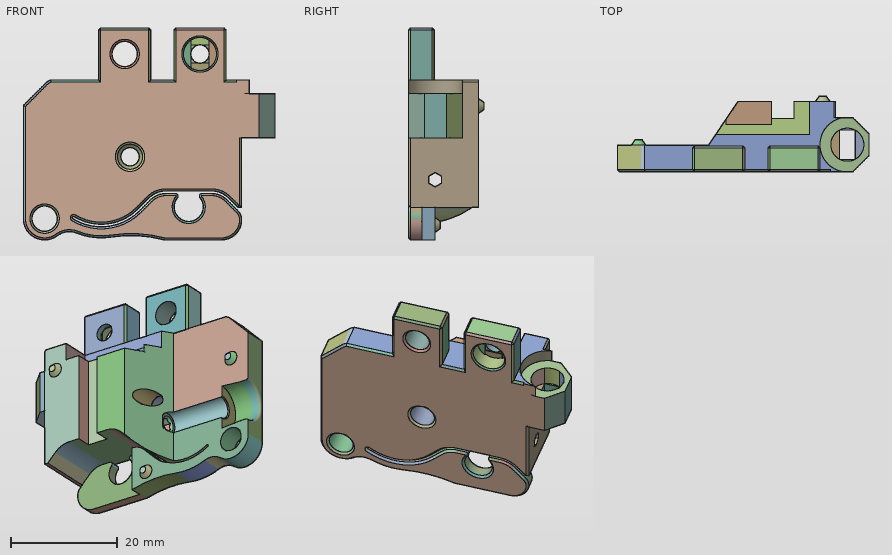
import cadquery as cq
import math

PLATE_THICKNESS = 5.0
BLOCK_DEPTH = 13.17
BODY_RIGHT = 40.93
BODY_TOP = 30.0
FRONT_CHAMFER = 0.4
PIVOT_RADIUS = 4.0
CORNER_CUT_BOTTOM = 25.2
CORNER_CUT_RISE = 4.45
FACET_END = 5.1

SLOT_WIDTH = 0.45
ROOF_Z = 9.17
SHOULDER_RADIUS = 4.5
LATCH_X = 31.0
SHOULDER_HALF = 4.3
SAG_X = 14.6
SAG_RADIUS = 9.66
SLOT_SPREAD = math.radians(31.5)
TIP_Z = 6.1
DIAGONAL = math.sqrt(0.5)

LEVER_THINNEST = 2.1
LEVER_TOE_RADIUS = 3.8
LEVER_HUMP_RADIUS = 24.0
LEVER_HUMP_SPAN = 5.6
NECK_RADIUS = 3.7
LATCH_Z = 6.2
LATCH_RADIUS = 2.7
LATCH_LIP_RADIUS = 0.5
LEVER_ARM_THICKNESS = 2.5

TAB_WIDTH = 9.8
TAB_TOP = 39.75
TAB_THICKNESS = 4.85
TAB_CENTERS = (19.0, 33.1)
TAB_HOLE_Z = 34.85

INSERT_DIAMETER = 4.7
SCREW_DIAMETER = 3.4
HEAD_DIAMETER = 6.2
HEAD_CHAMFER = 0.3
HEAD_DEPTH = 3.1
BRIDGE_STEP = 0.2
CENTER_HOLE = (20.0, 15.6)
CENTER_INSERT_DEPTH = 5.0

RAMP_FOOT_X = 17.1
RAMP_TOP_X = 22.6
EDGE_CHAMFER = 0.35
RECESS_RIGHT = 36.0
RECESS_Y = 7.0
RECESS_FLOOR = 26.6
POCKET_LEFT = 20.4
POCKET_RIGHT = 28.9
POCKET_Y = 8.84
POCKET_FLOOR = 25.1
CHANNEL_RIGHT = 33.1
CHANNEL_Y = 10.0

BOSS_RIGHT = 47.2
BOSS_LEFT = 39.96
BOSS_DEPTH = 10.14
BOSS_CHAMFER = 3.05
BOSS_BOTTOM = 19.15
BOSS_TOP = 27.45
BOSS_HOLE_X = 43.1
BOSS_HOLE_DEPTH = 4.0
BOSS_RELIEF_DIAMETER = 10.25
NUT_SLOT_X = 2.9
NUT_SLOT_Y = 5.5

PATH_Y = 5.0
PATH_Z = 11.3
COLLAR_DIAMETER = 8.8
COLLAR_LIP_DIAMETER = 8.2
COLLAR_LIP_ROUND = 0.5
COLLAR_LIP_LENGTH = 2.0
COLLAR_DEPTH = 6.0
TUBE_DIAMETER = 4.3
TUBE_CHAMFER = 0.2
TUBE_END = 18.36
FUNNEL_DIAMETER = 3.2
FUNNEL_LENGTH = 0.5
HEX_FLATS = 2.3

NUB_BASE_RADIUS = 1.38
NUB_TIP_RADIUS = 0.68
NUB_HEIGHT = 1.0
PLATE_NUBS = ((4.0, 20.95), (23.5, 2.8))
BLOCK_NUB = (38.5, 25.1)

OVERCUT = 1.0

FLANK_OFFSET = SHOULDER_RADIUS * math.tan(math.pi / 8)
LEFT_FLANK_X = LATCH_X - SHOULDER_HALF - FLANK_OFFSET
RIGHT_FLANK_X = LATCH_X + SHOULDER_HALF + FLANK_OFFSET
SHOULDER_Z = ROOF_Z - SHOULDER_RADIUS
SAG_Z = ROOF_Z - LEFT_FLANK_X + SAG_X + SAG_RADIUS / DIAGONAL
SAG = (SAG_X, SAG_Z)
LEFT_SHOULDER = (LATCH_X - SHOULDER_HALF, SHOULDER_Z)
RIGHT_SHOULDER = (LATCH_X + SHOULDER_HALF, SHOULDER_Z)

UP = math.pi / 2
DOWN = -math.pi / 2
SLOT_START = DOWN - SLOT_SPREAD
SAG_END = -math.pi / 4
LEFT_FLANK_ANGLE = 3 * math.pi / 4
RIGHT_FLANK_ANGLE = math.pi / 4


def polar(center, radius, angle):
    """Point on a circle, with the angle in radians from +X towards +Z."""
    return (center[0] + radius * math.cos(angle), center[1] + radius * math.sin(angle))


def toward(start, end, distance):
    """Point at a distance from start in the direction of end."""
    angle = math.atan2(end[1] - start[1], end[0] - start[0])
    return polar(start, distance, angle)


def arc_to(path, center, radius, start, end):
    """Continue a path along a circle to its end angle."""
    return path.threePointArc(polar(center, radius, (start + end) / 2), polar(center, radius, end))


def arc_between(path, center, radius, start, end):
    """Continue a path along the shorter arc between two points of a circle."""
    middle = ((start[0] + end[0]) / 2, (start[1] + end[1]) / 2)
    return path.threePointArc(toward(center, middle, radius), end)


def front_plane(y=0.0):
    return cq.Workplane("XZ", origin=(0, y, 0))


def add_slot_roof(path):
    """Body edge above the slot, from its closed left end to the tip at the right."""
    path = arc_to(path, SAG, SAG_RADIUS, SLOT_START, SAG_END)
    path = path.lineTo(*polar(LEFT_SHOULDER, SHOULDER_RADIUS, LEFT_FLANK_ANGLE))
    path = arc_to(path, LEFT_SHOULDER, SHOULDER_RADIUS, LEFT_FLANK_ANGLE, UP)
    path = path.lineTo(RIGHT_SHOULDER[0], ROOF_Z)
    path = arc_to(path, RIGHT_SHOULDER, SHOULDER_RADIUS, UP, RIGHT_FLANK_ANGLE)
    return path.lineTo(RIGHT_FLANK_X + ROOF_Z - TIP_Z, TIP_Z).lineTo(BODY_RIGHT, TIP_Z)


def add_lever_underside(path):
    """Lower edge from the pivot corner along the wavy flexure to the flat of the lever."""
    pivot = (PIVOT_RADIUS, PIVOT_RADIUS)
    belly_radius = SAG_RADIUS + SLOT_WIDTH + LEVER_THINNEST
    pivot_reach = PIVOT_RADIUS + NECK_RADIUS
    belly_reach = belly_radius + NECK_RADIUS
    span = math.dist(pivot, SAG)
    turn = math.acos((pivot_reach**2 + span**2 - belly_reach**2) / (2 * pivot_reach * span))
    bearing = math.atan2(SAG_Z - PIVOT_RADIUS, SAG_X - PIVOT_RADIUS)
    neck = polar(pivot, pivot_reach, bearing - turn)
    hump_reach = belly_radius + LEVER_HUMP_RADIUS
    hump = (SAG_X + LEVER_HUMP_SPAN, SAG_Z - math.sqrt(hump_reach**2 - LEVER_HUMP_SPAN**2))
    hump_end = (hump[0] + math.sqrt(LEVER_HUMP_RADIUS**2 - hump[1] ** 2), 0)

    neck_start = toward(pivot, neck, PIVOT_RADIUS)
    belly_start = toward(SAG, neck, belly_radius)
    belly_end = toward(SAG, hump, belly_radius)
    path = arc_between(path, pivot, PIVOT_RADIUS, (0, PIVOT_RADIUS), neck_start)
    path = arc_between(path, neck, NECK_RADIUS, neck_start, belly_start)
    path = arc_between(path, SAG, belly_radius, belly_start, belly_end)
    return arc_between(path, hump, LEVER_HUMP_RADIUS, belly_end, hump_end)


def add_lever_end(path):
    """Rounded free end of the lever, up to the flank of its right shoulder."""
    toe = (BODY_RIGHT - LEVER_TOE_RADIUS, LEVER_TOE_RADIUS)
    flank_sum = RIGHT_FLANK_X + ROOF_Z - SLOT_WIDTH / DIAGONAL
    nose_radius = (flank_sum - BODY_RIGHT - LEVER_TOE_RADIUS) / (1 / DIAGONAL - 1)
    nose = (BODY_RIGHT - nose_radius, LEVER_TOE_RADIUS)
    path = path.lineTo(toe[0], 0)
    path = arc_to(path, toe, LEVER_TOE_RADIUS, DOWN, 0)
    return arc_to(path, nose, nose_radius, 0, RIGHT_FLANK_ANGLE)


def add_lever_top(path):
    """Upper edge of the lever with its open latch hole, back to the closed end of the slot."""
    radius = SHOULDER_RADIUS - SLOT_WIDTH
    top = ROOF_Z - SLOT_WIDTH
    latch = (LATCH_X, LATCH_Z)
    lip_z = top - LATCH_LIP_RADIUS
    lip_half = math.sqrt((LATCH_RADIUS + LATCH_LIP_RADIUS) ** 2 - (lip_z - LATCH_Z) ** 2)
    right_lip = (LATCH_X + lip_half, lip_z)
    left_lip = (LATCH_X - lip_half, lip_z)
    right_angle = math.atan2(lip_z - LATCH_Z, lip_half)
    left_angle = math.pi - right_angle
    path = path.lineTo(*polar(RIGHT_SHOULDER, radius, RIGHT_FLANK_ANGLE))
    path = arc_to(path, RIGHT_SHOULDER, radius, RIGHT_FLANK_ANGLE, UP)
    path = path.lineTo(right_lip[0], top)
    path = arc_to(path, right_lip, LATCH_LIP_RADIUS, UP, math.pi + right_angle)
    path = path.threePointArc((LATCH_X, LATCH_Z - LATCH_RADIUS), polar(latch, LATCH_RADIUS, left_angle))
    path = arc_to(path, left_lip, LATCH_LIP_RADIUS, -right_angle, UP)
    path = path.lineTo(LEFT_SHOULDER[0], top)
    path = arc_to(path, LEFT_SHOULDER, radius, UP, LEFT_FLANK_ANGLE)
    path = path.lineTo(*polar(SAG, SAG_RADIUS + SLOT_WIDTH, SAG_END))
    path = arc_to(path, SAG, SAG_RADIUS + SLOT_WIDTH, SAG_END, SLOT_START)
    cap = polar(SAG, SAG_RADIUS + SLOT_WIDTH / 2, SLOT_START)
    cap_middle = polar(cap, SLOT_WIDTH / 2, SLOT_START - math.pi / 2)
    return path.threePointArc(cap_middle, polar(SAG, SAG_RADIUS, SLOT_START))


def make_plate():
    path = front_plane().moveTo(0, PIVOT_RADIUS)
    path = add_lever_underside(path)
    path = add_lever_end(path)
    path = add_lever_top(path)
    path = add_slot_roof(path)
    path = path.lineTo(BODY_RIGHT, BODY_TOP).lineTo(FACET_END, BODY_TOP)
    path = path.lineTo(CORNER_CUT_RISE, CORNER_CUT_BOTTOM + CORNER_CUT_RISE)
    path = path.lineTo(0, CORNER_CUT_BOTTOM).close()
    plate = path.extrude(-PLATE_THICKNESS)
    return plate.faces("<Y").chamfer(FRONT_CHAMFER)


def make_block():
    """Thick rear block: ramped at the left and bounded below by the slot."""
    roof_start = polar(SAG, SAG_RADIUS, SLOT_START)
    path = front_plane(PLATE_THICKNESS).moveTo(roof_start[0], BODY_TOP).lineTo(*roof_start)
    path = add_slot_roof(path).lineTo(BODY_RIGHT, BODY_TOP).close()
    block = path.extrude(PLATE_THICKNESS - BLOCK_DEPTH)
    block = block.edges(">X and >Z").chamfer(EDGE_CHAMFER)
    ramp = [
        (0, PLATE_THICKNESS),
        (RAMP_FOOT_X, PLATE_THICKNESS),
        (RAMP_TOP_X, BLOCK_DEPTH),
        (0, BLOCK_DEPTH),
    ]
    return block.cut(cq.Workplane("XY").polyline(ramp).close().extrude(BODY_TOP))


def thin_lever_arm(plate):
    """Remove the rear of the lever, right of its left shoulder."""
    rear = front_plane(LEVER_ARM_THICKNESS)
    path = rear.moveTo(LEFT_SHOULDER[0], -OVERCUT).lineTo(LEFT_SHOULDER[0], ROOF_Z)
    path = path.lineTo(RIGHT_SHOULDER[0], ROOF_Z)
    path = arc_to(path, RIGHT_SHOULDER, SHOULDER_RADIUS, UP, RIGHT_FLANK_ANGLE)
    path = path.lineTo(RIGHT_FLANK_X + ROOF_Z - TIP_Z, TIP_Z).lineTo(BODY_RIGHT + OVERCUT, TIP_Z)
    path = path.lineTo(BODY_RIGHT + OVERCUT, -OVERCUT).close()
    return plate.cut(path.extrude(LEVER_ARM_THICKNESS - PLATE_THICKNESS))


def box_between(low, high):
    size = [high[axis] - low[axis] for axis in range(3)]
    return cq.Workplane("XY").box(*size, centered=False).translate(low)


def cut_block_recesses(part):
    rear = BLOCK_DEPTH + OVERCUT
    recess = box_between((0, RECESS_Y, RECESS_FLOOR), (RECESS_RIGHT, rear, BODY_TOP + OVERCUT))
    pocket = box_between((POCKET_LEFT, POCKET_Y, POCKET_FLOOR), (POCKET_RIGHT, rear, BODY_TOP))
    channel = box_between((POCKET_RIGHT, CHANNEL_Y, 0), (CHANNEL_RIGHT, rear, BODY_TOP))
    return part.cut(recess).cut(pocket).cut(channel)


def make_tab(center_x):
    base = BODY_TOP - FRONT_CHAMFER
    low = (center_x - TAB_WIDTH / 2, 0, base)
    tab = box_between(low, (center_x + TAB_WIDTH / 2, TAB_THICKNESS, TAB_TOP))
    return tab.edges("not <Z").chamfer(FRONT_CHAMFER)


def add_boss(part):
    profile = [
        (BOSS_LEFT, 0),
        (BOSS_RIGHT - BOSS_CHAMFER, 0),
        (BOSS_RIGHT, BOSS_CHAMFER),
        (BOSS_RIGHT, BOSS_DEPTH - BOSS_CHAMFER),
        (BOSS_RIGHT - BOSS_CHAMFER, BOSS_DEPTH),
        (BOSS_LEFT, BOSS_DEPTH),
    ]
    boss = cq.Workplane("XY", origin=(0, 0, BOSS_BOTTOM)).polyline(profile).close()
    boss = boss.extrude(BOSS_TOP - BOSS_BOTTOM)
    shoulder = box_between((BOSS_LEFT, 0, BOSS_BOTTOM), (BOSS_HOLE_X, BOSS_DEPTH, BODY_TOP))
    axis = (BOSS_HOLE_X, BOSS_DEPTH / 2)
    top = cq.Workplane("XY", origin=(*axis, BOSS_TOP))
    relief = top.circle(BOSS_RELIEF_DIAMETER / 2).extrude(BODY_TOP - BOSS_TOP + OVERCUT)
    hole = top.circle(HEAD_DIAMETER / 2).extrude(-BOSS_HOLE_DEPTH)
    nut_slot = top.rect(NUT_SLOT_X, NUT_SLOT_Y).extrude(BOSS_BOTTOM - BOSS_TOP - OVERCUT)
    return part.union(boss).union(shoulder).cut(relief).cut(hole).cut(nut_slot)


def cylinder_y(x, z, diameter, start, end):
    return front_plane(start).center(x, z).circle(diameter / 2).extrude(start - end)


def cone(origin, direction, start_radius, end_radius, length):
    solid = cq.Solid.makeCone(start_radius, end_radius, length, cq.Vector(*origin), cq.Vector(*direction))
    return cq.Workplane(obj=solid)


def front_mouth(x, z, diameter, chamfer):
    """Chamfer around the front end of a hole."""
    return cone((x, 0, z), (0, 1, 0), diameter / 2 + chamfer, diameter / 2, chamfer)


def cut_insert_holes(part):
    """Plain insert holes in the left tab and at the pivot corner."""
    for x, z in ((TAB_CENTERS[0], TAB_HOLE_Z), (PIVOT_RADIUS, PIVOT_RADIUS)):
        part = part.cut(cylinder_y(x, z, INSERT_DIAMETER, 0, PLATE_THICKNESS))
        part = part.cut(front_mouth(x, z, INSERT_DIAMETER, FRONT_CHAMFER))
    return part


def cut_center_hole(part):
    """Insert hole that narrows to a screw hole through the block."""
    x, z = CENTER_HOLE
    taper = (INSERT_DIAMETER - SCREW_DIAMETER) / 2
    shoulder = (x, CENTER_INSERT_DEPTH, z)
    part = part.cut(front_mouth(x, z, INSERT_DIAMETER, FRONT_CHAMFER))
    part = part.cut(cylinder_y(x, z, INSERT_DIAMETER, 0, CENTER_INSERT_DEPTH))
    part = part.cut(cone(shoulder, (0, 1, 0), INSERT_DIAMETER / 2, SCREW_DIAMETER / 2, taper))
    return part.cut(cylinder_y(x, z, SCREW_DIAMETER, 0, BLOCK_DEPTH))


def cut_head_hole(part):
    """Screw head recess in the right tab, stepped down to the screw hole for printing."""
    x = TAB_CENTERS[1]
    part = part.cut(front_mouth(x, TAB_HOLE_Z, HEAD_DIAMETER, HEAD_CHAMFER))
    part = part.cut(cylinder_y(x, TAB_HOLE_Z, HEAD_DIAMETER, 0, HEAD_DEPTH))
    floor = front_plane(HEAD_DEPTH).center(x, TAB_HOLE_Z)
    head = cylinder_y(x, TAB_HOLE_Z, HEAD_DIAMETER, 0, PLATE_THICKNESS)
    bridge = floor.rect(SCREW_DIAMETER, HEAD_DIAMETER).extrude(-BRIDGE_STEP).intersect(head)
    square = floor.rect(SCREW_DIAMETER, SCREW_DIAMETER).extrude(-2 * BRIDGE_STEP)
    part = part.cut(bridge).cut(square)
    return part.cut(cylinder_y(x, TAB_HOLE_Z, SCREW_DIAMETER, 0, PLATE_THICKNESS))


def cut_filament_path(part):
    """Collar pocket, tube bore, funnel and hexagonal channel along X."""
    along_x = (1, 0, 0)

    def path_plane(x):
        return cq.Workplane("YZ", origin=(x, PATH_Y, PATH_Z))

    def bore(diameter, start, end):
        return path_plane(start).circle(diameter / 2).extrude(end - start)

    def mouth(x, diameter, chamfer):
        return cone((x, PATH_Y, PATH_Z), along_x, diameter / 2 + chamfer, diameter / 2, chamfer)

    lip_radius = COLLAR_LIP_DIAMETER / 2
    rounding = COLLAR_LIP_ROUND * (1 - DIAGONAL)
    bell = cq.Workplane("XY", origin=(0, PATH_Y, PATH_Z)).lineTo(0, lip_radius + COLLAR_LIP_ROUND)
    bell = bell.threePointArc((rounding, lip_radius + rounding), (COLLAR_LIP_ROUND, lip_radius))
    bell = bell.lineTo(COLLAR_LIP_LENGTH, lip_radius).lineTo(COLLAR_LIP_LENGTH, 0).close()
    rounded_mouth = bell.revolve(360, (0, 0, 0), (1, 0, 0))

    hexagon = path_plane(TUBE_END).polygon(6, HEX_FLATS, circumscribed=True)
    hexagon = hexagon.extrude(BOSS_RIGHT - TUBE_END)
    funnel_origin = (TUBE_END, PATH_Y, PATH_Z)
    funnel = cone(funnel_origin, along_x, FUNNEL_DIAMETER / 2, HEX_FLATS / 2, FUNNEL_LENGTH)
    collar = cone(
        (COLLAR_LIP_LENGTH, PATH_Y, PATH_Z),
        along_x,
        COLLAR_LIP_DIAMETER / 2,
        COLLAR_DIAMETER / 2,
        COLLAR_DEPTH - COLLAR_LIP_LENGTH,
    )
    cutters = (
        rounded_mouth,
        collar,
        mouth(COLLAR_DEPTH, TUBE_DIAMETER, TUBE_CHAMFER),
        bore(TUBE_DIAMETER, 0, TUBE_END),
        funnel,
        hexagon,
    )
    for cutter in cutters:
        part = part.cut(cutter)
    return part


def make_nub(x, z, y):
    return cone((x, y, z), (0, 1, 0), NUB_BASE_RADIUS, NUB_TIP_RADIUS, NUB_HEIGHT)


result = thin_lever_arm(make_plate()).union(make_block())
result = cut_block_recesses(result)
for tab_x in TAB_CENTERS:
    result = result.union(make_tab(tab_x))
result = add_boss(result)
result = cut_insert_holes(result)
result = cut_center_hole(result)
result = cut_head_hole(result)
result = cut_filament_path(result)
for nub_x, nub_z in PLATE_NUBS:
    result = result.union(make_nub(nub_x, nub_z, PLATE_THICKNESS))
result = result.union(make_nub(*BLOCK_NUB, BLOCK_DEPTH))